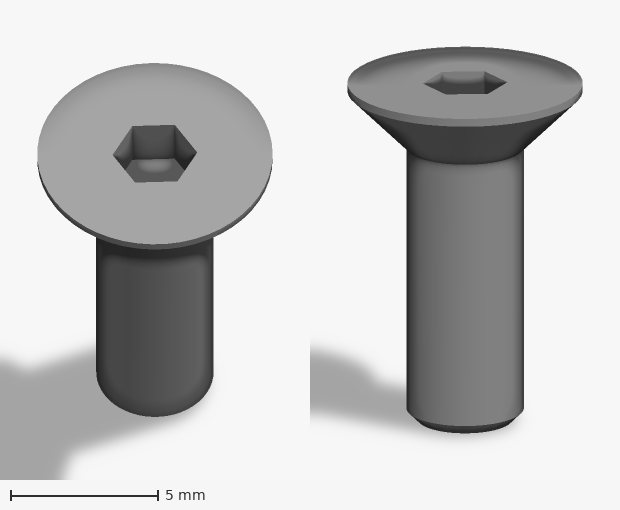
import cadquery as cq
import math

total_length = 12.0
head_diameter = 8.0
shank_diameter = 4.0
rim_height = 0.28

tip_chamfer = 0.38

socket_across_flats = 2.5
socket_depth = 1.8

head_radius = head_diameter / 2
shank_radius = shank_diameter / 2
rim_bottom = total_length - rim_height
cone_bottom = rim_bottom - (head_radius - shank_radius)


def make_body():
    """Revolve the half profile of the screw about the Z axis."""
    return (
        cq.Workplane("XZ")
        .moveTo(0, 0)
        .lineTo(shank_radius - tip_chamfer, 0)
        .lineTo(shank_radius, tip_chamfer)
        .lineTo(shank_radius, cone_bottom)
        .lineTo(head_radius, rim_bottom)
        .lineTo(head_radius, total_length)
        .lineTo(0, total_length)
        .close()
        .revolve(360, (0, 0, 0), (0, 1, 0))
    )


def make_socket():
    """Hexagonal prism reaching down from the top of the head."""
    across_corners = socket_across_flats / math.cos(math.radians(30))
    return (
        cq.Workplane("XY")
        .workplane(offset=total_length - socket_depth)
        .polygon(6, across_corners)
        .extrude(socket_depth)
        .rotate((0, 0, 0), (0, 0, 1), 30)
    )


result = make_body().cut(make_socket())